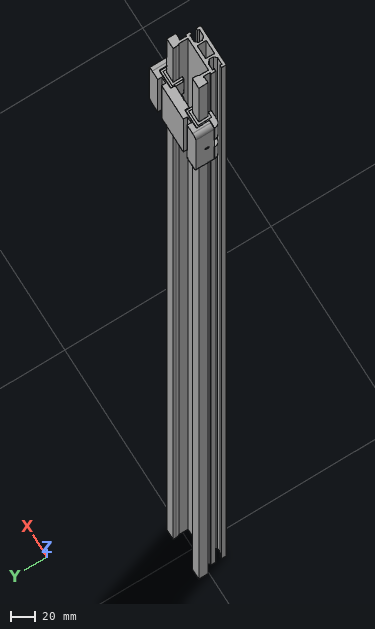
import cadquery as cq

rail_length = 1500.0
rail_start = -rail_length / 2
rail_end = rail_length / 2
stem_half_width = 20.0
stem_bottom = -20.0
stem_top = -5.0
flange_outer = 25.0
flange_inner = 15.0
flange_top = 10.0
flange_bottom = 1.0
flange_corner_radius = 6.0
neck_inner = 16.0
neck_outer = 18.5

slot_middle = -12.5
slot_mouth_width = 5.6
slot_cavity_width = 9.0
slot_floor_width = 4.0
slot_lip = 2.5
slot_shoulder = 11.0
slot_floor = 8.5
bore_width = 13.0
bore_height = 8.6

carriage_length = 100.0
carriage_middle = 600.0
carriage_start = carriage_middle - carriage_length / 2
carriage_end = carriage_middle + carriage_length / 2
plate_half_width = 36.5
plate_top = 20.0
plate_underside = 10.5
skirt_bottom = 2.0
end_corner_radius = 5.0
top_groove_middle = 20.0
top_groove_width = 6.0
top_groove_depth = 4.0
side_hole_diameter = 4.0
side_hole_height = 9.0

housing_inner = 11.0
housing_outer = 29.0
housing_top = 14.5
housing_bottom = -4.0
foot_outer = 36.2
foot_corner_radius = 5.0
housing_gap = 22.0
housing_inset = 3.0
housing_length = (carriage_length - housing_gap) / 2 - housing_inset
housing_starts = (carriage_start + housing_inset, carriage_middle + housing_gap / 2)
liner_wall = 2.2
throat_outer = 22.0

sides = (-1, 1)


def bar(x_range, y_range, z_range):
    """Rectangular bar filling the given ranges along X, Y and Z."""
    size = [high - low for low, high in (x_range, y_range, z_range)]
    corner = (x_range[0], y_range[0], z_range[0])
    return cq.Workplane("XY").box(*size, centered=False).translate(corner)


def on_side(body, side):
    """Body modelled on the +X side, mirrored across the YZ plane for side -1."""
    return body if side > 0 else body.mirror("YZ")


def make_flange():
    along = (rail_start, rail_end)
    flange = bar((flange_inner, flange_outer), (flange_bottom, flange_top), along)
    flange = flange.edges("|Z and <X and <Y").fillet(flange_corner_radius)
    neck = bar((neck_inner, neck_outer), (stem_top, flange_bottom + flange_corner_radius), along)
    return flange.union(neck)


def make_side_slot():
    """T-slot whose cavity narrows toward its floor."""
    mouth = bar(
        (slot_shoulder, stem_half_width),
        (slot_middle - slot_mouth_width / 2, slot_middle + slot_mouth_width / 2),
        (rail_start, rail_end),
    )
    lip_inside = stem_half_width - slot_lip
    cavity = (
        cq.Workplane("XY", origin=(0, slot_middle, rail_start))
        .moveTo(lip_inside, -slot_cavity_width / 2)
        .lineTo(lip_inside, slot_cavity_width / 2)
        .lineTo(slot_shoulder, slot_cavity_width / 2)
        .lineTo(slot_floor, slot_floor_width / 2)
        .lineTo(slot_floor, -slot_floor_width / 2)
        .lineTo(slot_shoulder, -slot_cavity_width / 2)
        .close()
        .extrude(rail_length)
    )
    return cavity.union(mouth)


def make_rail():
    rail = bar((-stem_half_width, stem_half_width), (stem_bottom, stem_top), (rail_start, rail_end))
    for side in sides:
        rail = rail.union(on_side(make_flange(), side))
        rail = rail.cut(on_side(make_side_slot(), side))
    bore = cq.Workplane("XY", origin=(0, slot_middle, rail_start)).rect(bore_width, bore_height)
    return rail.cut(bore.extrude(rail_length))


def make_plate():
    along = (carriage_start, carriage_end)
    plate = bar((-plate_half_width, plate_half_width), (skirt_bottom, plate_top), along)
    plate = plate.edges("|Y").fillet(end_corner_radius)
    plate = plate.cut(bar((-housing_outer, housing_outer), (skirt_bottom, plate_underside), along))
    pocket = bar((housing_inner, housing_outer), (skirt_bottom, housing_top), along)
    top_groove = bar(
        (top_groove_middle - top_groove_width / 2, top_groove_middle + top_groove_width / 2),
        (plate_top - top_groove_depth, plate_top),
        along,
    )
    side_hole = (
        cq.Workplane("YZ", origin=(housing_outer, side_hole_height, carriage_middle))
        .circle(side_hole_diameter / 2)
        .extrude(plate_half_width - housing_outer)
    )
    for side in sides:
        for opening in (pocket, top_groove, side_hole):
            plate = plate.cut(on_side(opening, side))
    return plate


def make_liner_envelope(along):
    """Outside of a liner, also the shape of its seat in the housing."""
    return bar(
        (flange_inner - liner_wall, flange_outer + liner_wall),
        (flange_bottom - liner_wall, flange_top + liner_wall),
        along,
    )


def make_throat(along):
    """Opening below the flange that lets the neck and the stem pass."""
    return bar((housing_inner, throat_outer), (housing_bottom, flange_bottom), along)


def make_housing(start):
    """Housing with a foot under the skirt and an opening for the liner and the rail."""
    along = (start, start + housing_length)
    housing = bar((housing_inner, housing_outer), (skirt_bottom, housing_top), along)
    foot = bar((throat_outer, foot_outer), (housing_bottom, skirt_bottom), along)
    foot = foot.edges("|Z and >X and <Y").fillet(foot_corner_radius)
    return housing.union(foot).cut(make_liner_envelope(along)).cut(make_throat(along))


def make_liner(start):
    """Liner wrapped around the flange, open toward the neck."""
    along = (start, start + housing_length)
    flange_space = bar((flange_inner, flange_outer), (flange_bottom, flange_top), along)
    return make_liner_envelope(along).cut(flange_space).cut(make_throat(along))


rail = make_rail()
plate = make_plate()
housings = []
liners = []
for side in sides:
    for start in housing_starts:
        housings.append(on_side(make_housing(start), side))
        liners.append(on_side(make_liner(start), side))

result = cq.Compound.makeCompound(
    [rail.val(), plate.val(), *[housing.val() for housing in housings], *[liner.val() for liner in liners]]
)